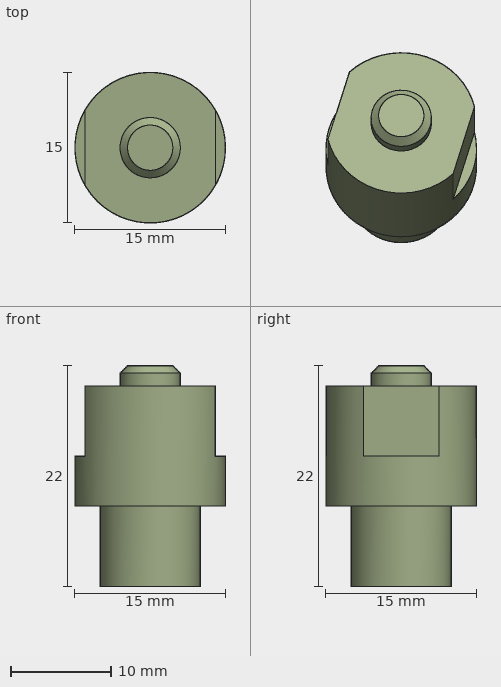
import cadquery as cq

total_height = 22.0
stem_height = 8.0
pin_height = 2.0
body_height = total_height - stem_height - pin_height

stem_diameter = 10.0
body_diameter = 15.0
pin_diameter = 6.0
pin_chamfer = 0.75

across_flats = 13.0
flat_height = 7.0


def cylinder(diameter, height, base_z):
    """Upright cylinder on the Z axis, starting at base_z."""
    return cq.Workplane("XY").workplane(offset=base_z).circle(diameter / 2).extrude(height)


def flat_cutter(side):
    """Block that removes the body outside one flat; side is +1 or -1 along X."""
    cutter_width = body_diameter - across_flats
    cutter_center_x = side * (across_flats + cutter_width) / 2
    return (
        cq.Workplane("XY")
        .workplane(offset=body_top - flat_height)
        .center(cutter_center_x, 0)
        .rect(cutter_width, body_diameter)
        .extrude(flat_height)
    )


body_top = stem_height + body_height

stem = cylinder(stem_diameter, stem_height, 0)

body = cylinder(body_diameter, body_height, stem_height)
for side in (-1, 1):
    body = body.cut(flat_cutter(side))

pin = cylinder(pin_diameter, pin_height, body_top).faces(">Z").chamfer(pin_chamfer)

result = stem.union(body).union(pin)